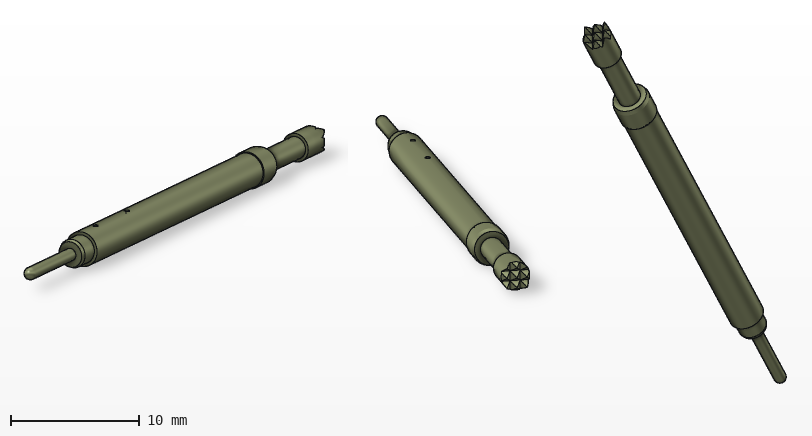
import math

import cadquery as cq


head_diameter = 2.3
head_length = 3.0
tooth_pitch = 0.81
tooth_angle = 60.0
teeth_per_row = 3

shaft_diameter = 1.8
shaft_length = 5.1

collar_diameter = 3.0
collar_length = 2.1
collar_lead_length = 0.4
collar_lead_depth = 0.12

barrel_diameter = 2.8
barrel_length = 24.9
dimple_diameter = 0.4
dimple_depth = 0.15
dimple_rear_distance = 2.05
dimple_spacing = 4.7

tail_diameter = 2.3
tail_length = 1.7
tail_chamfer_length = 0.3
tail_chamfer_depth = 0.12

pin_diameter = 1.0
overall_length = 43.3

collar_front = collar_length
head_rear = collar_front + shaft_length
crown_tip = head_rear + head_length
barrel_rear = -barrel_length
tail_rear = barrel_rear - tail_length
pin_end = crown_tip - overall_length


def make_turned_body():
    """Revolve the half profile of the whole probe about Y."""
    head_radius = head_diameter / 2
    shaft_radius = shaft_diameter / 2
    collar_radius = collar_diameter / 2
    barrel_radius = barrel_diameter / 2
    tail_radius = tail_diameter / 2
    pin_radius = pin_diameter / 2
    dome_center = pin_end + pin_radius
    dome_midpoint = (
        pin_radius * math.sin(math.radians(45)),
        dome_center - pin_radius * math.cos(math.radians(45)),
    )
    profile = (
        cq.Workplane("XY")
        .moveTo(0, crown_tip)
        .lineTo(head_radius, crown_tip)
        .lineTo(head_radius, head_rear)
        .lineTo(shaft_radius, head_rear)
        .lineTo(shaft_radius, collar_front)
        .lineTo(collar_radius - collar_lead_depth, collar_front)
        .lineTo(collar_radius, collar_front - collar_lead_length)
        .lineTo(collar_radius, 0)
        .lineTo(barrel_radius, 0)
        .lineTo(barrel_radius, barrel_rear)
        .lineTo(tail_radius, barrel_rear)
        .lineTo(tail_radius, tail_rear + tail_chamfer_length)
        .lineTo(tail_radius - tail_chamfer_depth, tail_rear)
        .lineTo(pin_radius, tail_rear)
        .lineTo(pin_radius, dome_center)
        .threePointArc(dome_midpoint, (0, pin_end))
        .close()
    )
    return profile.revolve(360, (0, 0, 0), (0, 1, 0))


def make_groove(offset):
    """V-groove running along Z at X = offset, its mouth level with the crown tips."""
    half_width = tooth_pitch / 2
    depth = half_width / math.tan(math.radians(tooth_angle / 2))
    return (
        cq.Workplane("XY")
        .polyline([
            (offset - half_width, crown_tip),
            (offset + half_width, crown_tip),
            (offset, crown_tip - depth),
        ])
        .close()
        .extrude(head_diameter, both=True)
    )


def cut_crown(body):
    """Cut two crossing sets of V-grooves, leaving a square grid of pyramid teeth."""
    for index in range(teeth_per_row + 1):
        groove = make_groove((index - teeth_per_row / 2) * tooth_pitch)
        body = body.cut(groove)
        body = body.cut(groove.rotate((0, 0, 0), (0, 1, 0), 90))
    return body


def cut_dimples(body):
    """Sink the two round dimples into the top of the barrel."""
    rear_dimple = barrel_rear + dimple_rear_distance
    dimple_floor = barrel_diameter / 2 - dimple_depth
    dimples = (
        cq.Workplane("XY", origin=(0, 0, dimple_floor))
        .pushPoints([(0, rear_dimple), (0, rear_dimple + dimple_spacing)])
        .circle(dimple_diameter / 2)
        .extrude(barrel_diameter)
    )
    return body.cut(dimples)


result = cut_dimples(cut_crown(make_turned_body()))